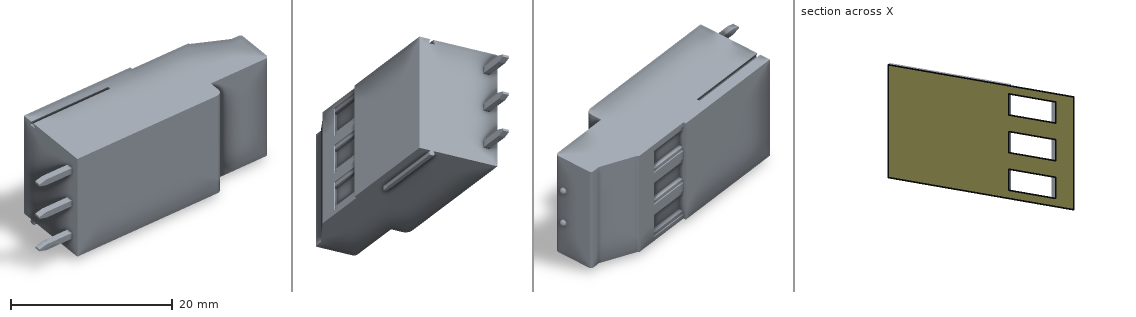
import cadquery as cq


width = 11.1
length = 31.52
height = 15.25
shoulder_y = 22.55
narrow_x = 8.62
shoulder_radius = 0.9
back_radius = 0.5
back_slope_radius = 0.35
pocket_face_x = 0.37
pocket_face_y = 16.5
ledge_end = (0.6, 25.35)
ledge_y = 25.2
slope_end = (2.85, 30.05)

pole_count = 3
pole_pitch = 5.07

pocket_length = 5.77
outer_pocket_height = 3.8
outer_pocket_depth = 0.15
channel_height = 2.78
channel_depth = 0.55
channel_undercut = channel_depth

pin_size = 0.9
pin_length = 5.0
pin_taper_length = 1.07
pin_tip_height = 0.3
pin_x = 9.5

bump_radius = 0.48
bump_x = 7.3

dovetail_x = 1.78
dovetail_length = 11.9
dovetail_depth = 0.6
neck_width = 0.45
groove_width = 0.9
rib_width = 0.78
rib_foot_width = 0.55
rib_chamfer_height = 0.22
rib_lead_length = 1.07


def centred_positions(count):
    """Z positions spaced by the pole pitch, centred on the housing height."""
    first = height / 2 - pole_pitch * (count - 1) / 2
    return [first + pole_pitch * i for i in range(count)]


def make_housing():
    body = (
        cq.Workplane("XY")
        .moveTo(0, 0)
        .lineTo(width, 0)
        .lineTo(width, shoulder_y)
        .lineTo(narrow_x, shoulder_y)
        .lineTo(narrow_x, length)
        .lineTo(slope_end[0], length)
        .lineTo(*slope_end)
        .lineTo(*ledge_end)
        .lineTo(pocket_face_x, ledge_y)
        .lineTo(pocket_face_x, pocket_face_y)
        .lineTo(0, pocket_face_y)
        .close()
        .extrude(height)
    )
    rounded_corners = [
        (width, shoulder_y, shoulder_radius),
        (narrow_x, length, back_radius),
        (slope_end[0], length, back_slope_radius),
    ]
    for x, y, radius in rounded_corners:
        corner = cq.NearestToPointSelector((x, y, height / 2))
        body = body.edges("|Z").edges(corner).fillet(radius)
    return body


def make_pocket(z):
    def recess(start_depth, depth, recess_length, recess_height):
        return (
            cq.Workplane("XY")
            .box(depth, recess_length, recess_height, centered=(False, False, True))
            .translate((pocket_face_x + start_depth, pocket_face_y, z))
        )

    opening = recess(0, outer_pocket_depth, pocket_length, outer_pocket_height)
    channel_length = pocket_length + channel_undercut
    channel = recess(outer_pocket_depth, channel_depth, channel_length, channel_height)
    return opening.union(channel)


def make_pin(z):
    taper_y = pin_taper_length - pin_length
    side_profile = [
        (0, -pin_size / 2),
        (taper_y, -pin_size / 2),
        (-pin_length, -pin_tip_height / 2),
        (-pin_length, pin_tip_height / 2),
        (taper_y, pin_size / 2),
        (0, pin_size / 2),
    ]
    return (
        cq.Workplane("YZ")
        .polyline(side_profile)
        .close()
        .extrude(pin_size / 2, both=True)
        .translate((pin_x, 0, z))
    )


def make_bump(z):
    return cq.Workplane("XY").sphere(bump_radius).translate((bump_x, length, z))


def extrude_section(section, start_y, end_y):
    """Extrude a symmetric (half width, z) section from start_y to end_y."""
    right = [(dovetail_x + half, z) for half, z in section]
    left = [(dovetail_x - half, z) for half, z in reversed(section)]
    return (
        cq.Workplane("XZ", origin=(0, start_y, 0))
        .polyline(right + left)
        .close()
        .extrude(start_y - end_y)
    )


def make_groove():
    section = [
        (neck_width / 2, height),
        (groove_width / 2, height - dovetail_depth),
    ]
    return extrude_section(section, 0, dovetail_length)


def make_rib():
    lead_start = dovetail_length - rib_lead_length
    dovetail_section = [
        (neck_width / 2, 0),
        (rib_width / 2, rib_chamfer_height - dovetail_depth),
        (rib_foot_width / 2, -dovetail_depth),
    ]
    lead_section = [(neck_width / 2, 0), (neck_width / 2, -dovetail_depth)]
    dovetail = extrude_section(dovetail_section, 0, lead_start)
    return dovetail.union(extrude_section(lead_section, lead_start, dovetail_length))


result = make_housing().cut(make_groove()).union(make_rib())

for pole_z in centred_positions(pole_count):
    result = result.cut(make_pocket(pole_z)).union(make_pin(pole_z))

for bump_z in centred_positions(pole_count - 1):
    result = result.union(make_bump(bump_z))